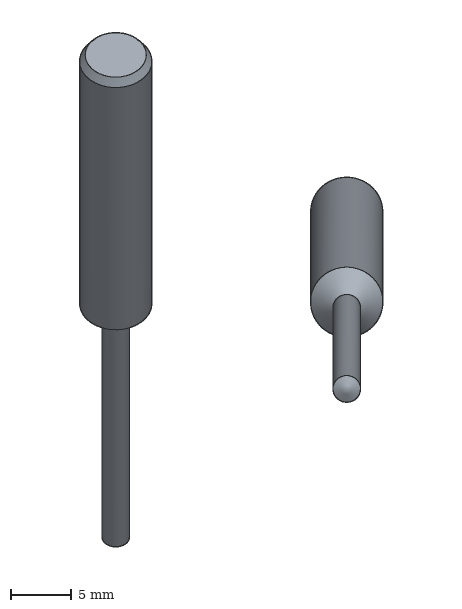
import cadquery as cq

total_length = 59.0
shank_diameter = 6.0
cutter_diameter = 2.3
tip_height = 0.5
cutter_length = 26.95
chamfer_width = 0.5
chamfer_height = 0.75

shank_radius = shank_diameter / 2
cutter_radius = cutter_diameter / 2
taper_height = shank_radius - cutter_radius


def make_shank():
    """Round shank with a chamfered top and a taper down to the cutter."""
    profile = [
        (0, cutter_length),
        (cutter_radius, cutter_length),
        (shank_radius, cutter_length + taper_height),
        (shank_radius, total_length - chamfer_height),
        (shank_radius - chamfer_width, total_length),
        (0, total_length),
    ]
    return cq.Workplane("XZ").polyline(profile).close().revolve(360, (0, 0), (0, 1))


def make_cutter():
    """Slim round cutter with a shallow conical tip, meeting the shank end to end."""
    profile = [
        (0, 0),
        (cutter_radius, tip_height),
        (cutter_radius, cutter_length),
        (0, cutter_length),
    ]
    return cq.Workplane("XZ").polyline(profile).close().revolve(360, (0, 0), (0, 1))


shank = make_shank()
cutter = make_cutter()
result = cq.Compound.makeCompound([shank.val(), cutter.val()])